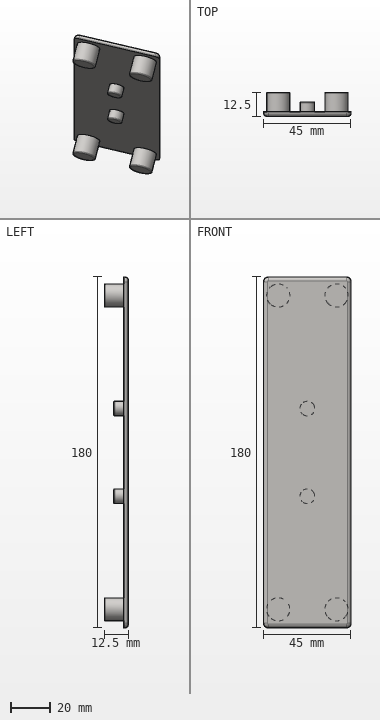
import cadquery as cq

plate_width = 45.0
plate_height = 180.0
plate_thickness = 2.5
corner_radius = 2.5
face_edge_radius = 2.0

total_depth = 12.5
corner_peg_diameter = 11.9
corner_peg_length = total_depth - plate_thickness
corner_peg_x = 15.0
corner_peg_z = 80.5

center_peg_diameter = 7.5
center_peg_length = 5.0
center_peg_z = 22.5

peg_tip_radius = 0.5


def make_plate():
    """Flat plate with rounded corners and a rounded rim on its -Y face."""
    plate = cq.Workplane("XY").box(
        plate_width, plate_thickness, plate_height, centered=(True, False, True)
    )
    plate = plate.edges("|Y").fillet(corner_radius)
    return plate.faces("<Y").edges().fillet(face_edge_radius)


def make_peg(x, z, diameter, length):
    """Round peg rooted in the plate's back, with a rounded tip edge."""
    peg = cq.Workplane("XZ", origin=(x, plate_thickness, z)).circle(diameter / 2).extrude(-length)
    return peg.faces(">Y").edges().fillet(peg_tip_radius)


result = make_plate()

for side_z in (-1, 1):
    for side_x in (-1, 1):
        corner_peg = make_peg(
            side_x * corner_peg_x, side_z * corner_peg_z, corner_peg_diameter, corner_peg_length
        )
        result = result.union(corner_peg)
    center_peg = make_peg(0, side_z * center_peg_z, center_peg_diameter, center_peg_length)
    result = result.union(center_peg)